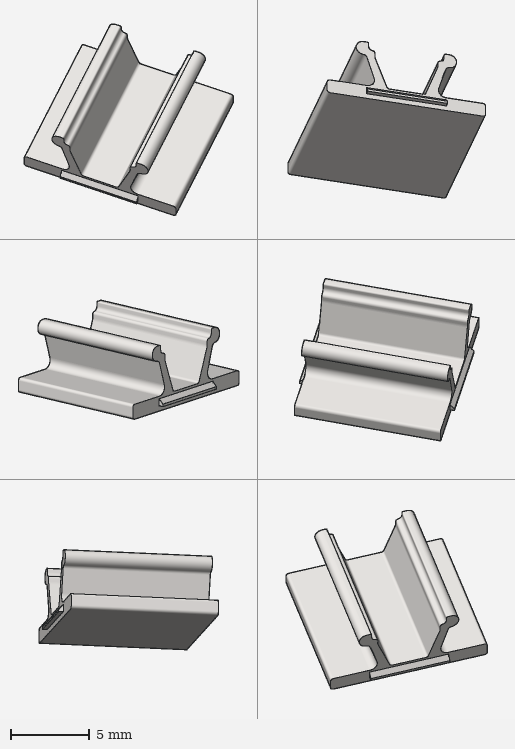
import cadquery as cq
import math

base_width = 10.5
base_length = 9.6
base_height = 1.0
base_edge_radius = 0.2

tongue_width = 5.29
tongue_bottom = 0.36
tongue_tip_top = 0.52
tongue_root_top = 0.83
overall_length = 10.2

overall_height = 4.37
head_radius = 0.5
head_center_x = 2.82
head_center_z = overall_height - head_radius
head_inner_x = 2.5
step_outer_z = 3.81
lip_inner_x = 2.08
lip_top_z = 3.74
lip_bottom_z = 3.25
inner_foot_x = 1.25
outer_foot_x = 1.94
outer_lean = 17.1

outer_foot_radius = 0.5
inner_foot_radius = 0.2
neck_radius = 0.25
step_radius = 0.29
lip_radius = 0.2
head_corner_radius = 0.1
wall_bend_radius = 0.5


def outer_wall_x(z):
    """X of the leaning outer wall of an arm at height z."""
    return outer_foot_x + (z - base_height) * math.tan(math.radians(outer_lean))


def neck_corner():
    """Point where the outer wall enters the underside of the round head."""
    lean = math.radians(outer_lean)
    foot_to_head_x = head_center_x - outer_foot_x
    foot_to_head_z = head_center_z - base_height
    along = foot_to_head_x * math.sin(lean) + foot_to_head_z * math.cos(lean)
    offset = foot_to_head_x * math.cos(lean) - foot_to_head_z * math.sin(lean)
    reach = along - math.sqrt(head_radius**2 - offset**2)
    z = base_height + reach * math.cos(lean)
    return outer_wall_x(z), z


def profile_prism(sketch):
    """Extrude an XZ profile over the base length."""
    return sketch.extrude(base_length / 2, both=True)


def make_base():
    base = cq.Workplane("XY").box(base_width, base_length, base_height, centered=(True, True, False))
    return base.edges("|Y").fillet(base_edge_radius)


def make_arm():
    """Right-hand arm, without blends; its foot is sunk to mid-height in the base."""
    sunk_z = base_height / 2
    outline = [
        (outer_foot_x, sunk_z),
        (outer_foot_x, base_height),
        (outer_wall_x(head_center_z), head_center_z),
        (head_center_x, head_center_z),
        (head_center_x, overall_height),
        (head_inner_x, overall_height),
        (head_inner_x, step_outer_z),
        (lip_inner_x, lip_top_z),
        (lip_inner_x, lip_bottom_z),
        (inner_foot_x, base_height),
        (inner_foot_x, sunk_z),
    ]
    web = profile_prism(cq.Workplane("XZ").polyline(outline).close())
    head = profile_prism(cq.Workplane("XZ").center(head_center_x, head_center_z).circle(head_radius))
    head_limit = cq.Workplane("XY").box(
        2 * head_radius, base_length, overall_height, centered=(False, True, False)
    )
    head = head.intersect(head_limit.translate((head_inner_x, 0, 0)))
    return web.union(head)


def make_tongues():
    """Both end tongues as one bar running through the base."""
    tip_y = overall_length / 2
    root_y = base_length / 2
    outline = [
        (-tip_y, tongue_bottom),
        (tip_y, tongue_bottom),
        (tip_y, tongue_tip_top),
        (root_y, tongue_root_top),
        (-root_y, tongue_root_top),
        (-tip_y, tongue_tip_top),
    ]
    return cq.Workplane("YZ").polyline(outline).close().extrude(tongue_width / 2, both=True)


def blend(body, corner, radius):
    """Round the lengthwise edge at an XZ corner on both arms."""
    x, z = corner
    for side in (-1, 1):
        edge = cq.selectors.NearestToPointSelector((side * x, 0, z))
        body = body.edges("|Y").edges(edge).fillet(radius)
    return body


arm = make_arm()
body = make_base().union(arm).union(arm.mirror("YZ"))

blends = [
    ((outer_foot_x, base_height), outer_foot_radius),
    ((inner_foot_x, base_height), inner_foot_radius),
    (neck_corner(), neck_radius),
    ((head_inner_x, step_outer_z), step_radius),
    ((lip_inner_x, lip_top_z), lip_radius),
    ((lip_inner_x, lip_bottom_z), wall_bend_radius),
    ((head_inner_x, overall_height), head_corner_radius),
]
for corner, radius in blends:
    body = blend(body, corner, radius)

result = body.union(make_tongues())